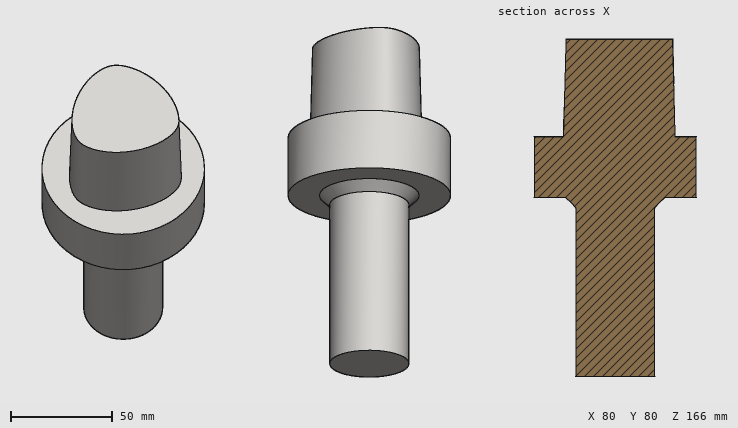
import cadquery as cq
import math

total_height = 166.0
shank_diameter = 39.0
flange_diameter = 80.0
flange_height = 30.0
collar_height = 5.0
taper_height = 48.0

base_width = 55.1
end_width = 52.6
lobe_height = 2.0
outline_points = 48

flange_top = total_height - taper_height
flange_bottom = flange_top - flange_height
shank_top = flange_bottom - collar_height
shank_radius = shank_diameter / 2
collar_radius = shank_radius + collar_height
flange_radius = flange_diameter / 2


def lobed_point(width, angle):
    """Point of a constant-width trilobe whose outward normal is at the given angle."""
    lobe_angle = 3 * (angle + math.pi / 2)
    reach = width / 2 + lobe_height * math.cos(lobe_angle)
    slide = -3 * lobe_height * math.sin(lobe_angle)
    x = reach * math.cos(angle) - slide * math.sin(angle)
    y = reach * math.sin(angle) + slide * math.cos(angle)
    return x, y


def lobed_outline(width):
    step = 2 * math.pi / outline_points
    return [lobed_point(width, i * step) for i in range(outline_points)]


body = (
    cq.Workplane("XZ")
    .polyline([
        (0, 0),
        (shank_radius, 0),
        (shank_radius, shank_top),
        (collar_radius, flange_bottom),
        (flange_radius, flange_bottom),
        (flange_radius, flange_top),
        (0, flange_top),
    ])
    .close()
    .revolve(360, (0, 0, 0), (0, 1, 0))
)

taper = (
    cq.Workplane("XY", origin=(0, 0, flange_top))
    .spline(lobed_outline(base_width), periodic=True)
    .close()
    .workplane(offset=taper_height)
    .spline(lobed_outline(end_width), periodic=True)
    .close()
    .loft(ruled=True)
)

result = body.union(taper)